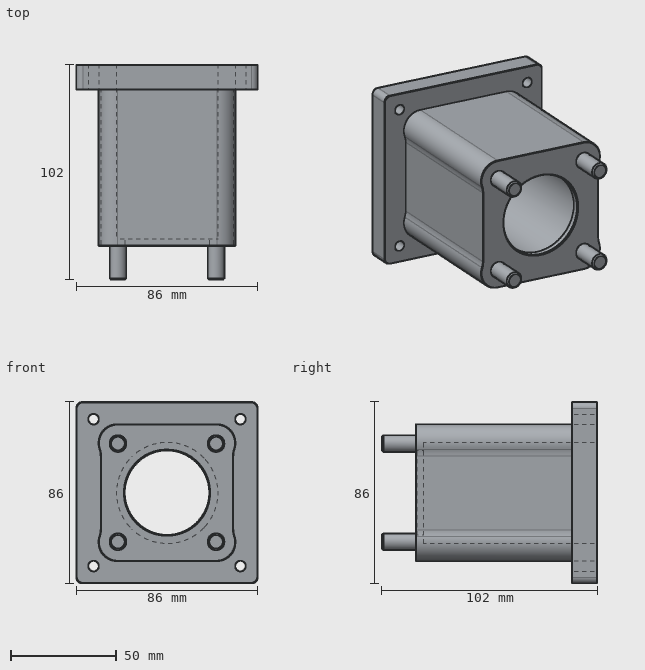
import cadquery as cq
import math


flange_width = 86.0
flange_thickness = 12.0
flange_corner_radius = 3.0
flange_edge_chamfer = 0.3
flange_hole_diameter = 4.92
flange_hole_spacing = 69.6

body_width = 65.0
body_length = 74.0
body_corner_radius = 9.0
waist_width = 63.0
waist_blend_radius = 9.0
body_edge_chamfer = 0.3

lip_diameter = 40.0
lip_length = 3.5
lip_chamfer = 0.5
bore_diameter = 48.0

pin_diameter = 8.0
pin_length = 16.0
pin_spacing = 46.5
pin_tip_chamfer = 0.8

flange_front = -flange_thickness
body_front = flange_front - body_length
lip_back = body_front + lip_length


def front_plane(y):
    """Sketch plane with local axes X and Z, extruding toward -Y."""
    return cq.Workplane("XZ", origin=(0, y, 0))


def square_pattern(spacing):
    half = spacing / 2
    return [(x, z) for x in (-half, half) for z in (-half, half)]


def make_flange():
    flange = front_plane(0).rect(flange_width, flange_width).extrude(flange_thickness)
    flange = flange.edges("|Y").fillet(flange_corner_radius)
    return flange.faces("<Y or >Y").edges().chamfer(flange_edge_chamfer)


def make_body():
    """Rounded square whose left and right sides dip to a waist between the corners."""
    half = body_width / 2
    waist = waist_width / 2
    corner = half - body_corner_radius
    blend_x = waist + waist_blend_radius

    sweep = math.acos((blend_x - corner) / (body_corner_radius + waist_blend_radius))
    join_x = corner + body_corner_radius * math.cos(sweep)
    join_z = corner - body_corner_radius * math.sin(sweep)
    flat_z = join_z - waist_blend_radius * math.sin(sweep)
    blend_mid_x = blend_x - waist_blend_radius * math.cos(sweep / 2)
    blend_mid_z = flat_z + waist_blend_radius * math.sin(sweep / 2)

    outline = (
        front_plane(flange_front)
        .moveTo(-corner, half)
        .lineTo(corner, half)
        .threePointArc((half, corner), (join_x, join_z))
        .threePointArc((blend_mid_x, blend_mid_z), (waist, flat_z))
        .lineTo(waist, -flat_z)
        .threePointArc((blend_mid_x, -blend_mid_z), (join_x, -join_z))
        .threePointArc((half, -corner), (corner, -half))
        .lineTo(-corner, -half)
        .threePointArc((-half, -corner), (-join_x, -join_z))
        .threePointArc((-blend_mid_x, -blend_mid_z), (-waist, -flat_z))
        .lineTo(-waist, flat_z)
        .threePointArc((-blend_mid_x, blend_mid_z), (-join_x, join_z))
        .threePointArc((-half, corner), (-corner, half))
        .close()
    )
    return outline.extrude(body_length).faces("<Y").edges().chamfer(body_edge_chamfer)


def make_bore():
    """Tool for the lip opening, its front chamfer and the wider bore behind it."""
    lip_radius = lip_diameter / 2
    bore_radius = bore_diameter / 2
    half_section = (
        cq.Workplane("XY")
        .moveTo(0, body_front)
        .lineTo(lip_radius + lip_chamfer, body_front)
        .lineTo(lip_radius, body_front + lip_chamfer)
        .lineTo(lip_radius, lip_back)
        .lineTo(bore_radius, lip_back)
        .lineTo(bore_radius, 0)
        .lineTo(0, 0)
        .close()
    )
    return half_section.revolve(360, (0, 0), (0, 1))


def make_flange_holes():
    holes = front_plane(0).pushPoints(square_pattern(flange_hole_spacing))
    return holes.circle(flange_hole_diameter / 2).extrude(flange_thickness)


def make_pins():
    pins = front_plane(body_front).pushPoints(square_pattern(pin_spacing))
    pins = pins.circle(pin_diameter / 2).extrude(pin_length)
    return pins.faces("<Y").edges().chamfer(pin_tip_chamfer)


housing = make_flange().union(make_body())
housing = housing.cut(make_bore()).cut(make_flange_holes())
result = housing.union(make_pins())